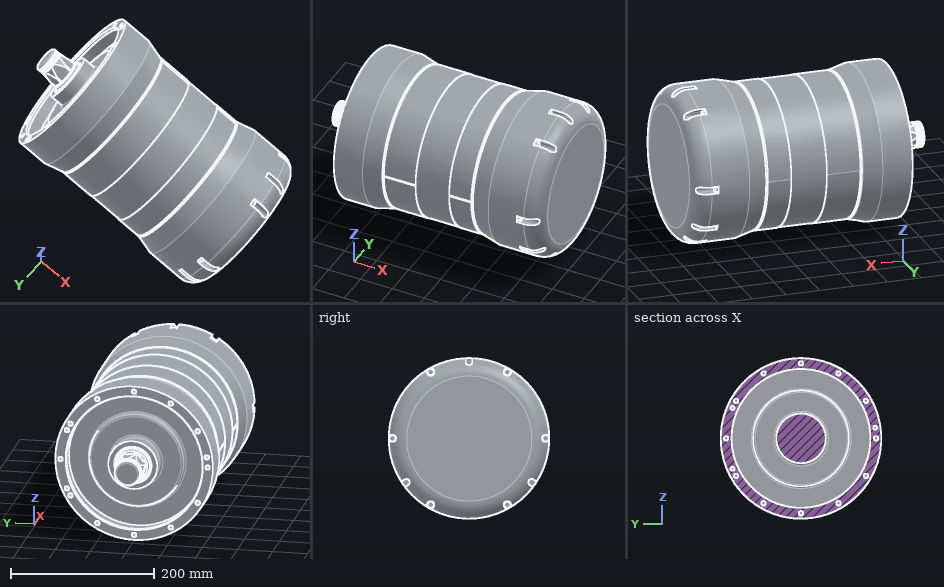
import cadquery as cq
import math


flange_x = 50.7
flange_end_x = 95.5
front_cone_end_x = 122.3
front_groove_x = 123.5
front_sleeve_x = 125.5
front_sleeve_end_x = 175.3
rear_sleeve_x = 228.0
rear_sleeve_end_x = 262.5
rear_cone_x = 265.0
rear_cone_end_x = 292.5
back_x = 373.0
housing_radius = 225.0 / 2
sleeve_radius = 210.7 / 2
core_radius = 209.5 / 2
back_fillet = 25.0
slit_width = 1.0

recess_mouth_radius = 195.5 / 2
recess_radius = 194.0 / 2
recess_mouth_depth = 3.7
recess_floor_x = 71.5
plate_radius = 134.2 / 2
plate_height = 8.2
plate_fillet = 2.5

hub_radius = 69.7 / 2
hub_face_x = 41.8
hub_fillet = 3.5
hub_ring_radius = 53.5 / 2
hub_ring_depth = 1.0
collar_radius = 48.0 / 2
collar_top_radius = 43.0 / 2
collar_top_x = 38.5

tip_radius = 36.5 / 2
tip_fillet = 3.0
taper_x = 12.0
taper_end_x = 28.0
shaft_radius = 41.0 / 2
shaft_end_x = 37.3
neck_radius = 17.5
hex_across_flats = 36.5
hex_turn = 11.5
thread_x = 3.5
thread_pitch = 1.35
thread_turns = 4
thread_depth = 0.7
undercut_starts = (9.0, 11.0)
undercut_width = 1.0

hole_circle_radius = 104.8
screw_hole_count = 12
hole_mouth_diameter = 6.7
screw_hole_diameter = 6.0
screw_hole_depth = 15.0
drill_tip_angle = 118.0
pin_hole_diameter = 5.2
pin_hole_depth = 15.0
pin_hole_angles = (24.0, -24.0, 171.8)

slot_axis_radius = 107.0
screw_slot_width = 10.0
screw_slot_x = 337.5
screw_slot_angles = (0, 60, 120, 180, 240, 300)
screw_head_diameter = 8.5
screw_head_length = 4.5
plain_slot_width = 9.5
plain_slot_x = 333.0
plain_slot_angles = (90, -35, 215)


def revolve_about_x(sketch):
    """Turn a closed XY outline, drawn with Y as the radius, about the X axis."""
    return sketch.close().revolve(360, (0, 0, 0), (1, 0, 0))


def x_cylinder(radius, x_start, x_end):
    return cq.Workplane("YZ", origin=(x_start, 0, 0)).circle(radius).extrude(x_end - x_start)


def ring_groove(x_start, x_end, inner_radius, outer_radius):
    """Ring to be cut from a turned face or surface."""
    return x_cylinder(outer_radius, x_start, x_end).cut(x_cylinder(inner_radius, x_start, x_end))


def at_angle(body, angle):
    return body.rotate((0, 0, 0), (1, 0, 0), angle)


def make_housing():
    outline = (
        cq.Workplane("XY")
        .moveTo(recess_floor_x, 0)
        .lineTo(recess_floor_x, recess_radius)
        .lineTo(flange_x + recess_mouth_depth, recess_radius)
        .lineTo(flange_x + recess_mouth_depth, recess_mouth_radius)
        .lineTo(flange_x, recess_mouth_radius)
        .lineTo(flange_x, housing_radius)
        .lineTo(flange_end_x, housing_radius)
        .lineTo(front_cone_end_x, sleeve_radius)
        .lineTo(front_groove_x, sleeve_radius)
        .lineTo(front_groove_x, core_radius)
        .lineTo(front_sleeve_x, core_radius)
        .lineTo(front_sleeve_x, sleeve_radius)
        .lineTo(front_sleeve_end_x, sleeve_radius)
        .lineTo(front_sleeve_end_x, core_radius)
        .lineTo(rear_sleeve_x, core_radius)
        .lineTo(rear_sleeve_x, sleeve_radius)
        .lineTo(rear_sleeve_end_x, sleeve_radius)
        .lineTo(rear_sleeve_end_x, core_radius)
        .lineTo(rear_cone_x, core_radius)
        .lineTo(rear_cone_x, sleeve_radius)
        .lineTo(rear_cone_end_x, housing_radius)
        .lineTo(back_x - back_fillet, housing_radius)
        .radiusArc((back_x, housing_radius - back_fillet), back_fillet)
        .lineTo(back_x, 0)
    )
    return revolve_about_x(outline)


def make_sleeve_slits():
    """The joint of each sleeve is a slit along X on the -Y side, down to the core."""
    slits = cq.Workplane("XY")
    for x_start, x_end in (
        (front_sleeve_x, front_sleeve_end_x),
        (rear_sleeve_x, rear_sleeve_end_x),
    ):
        strip = cq.Workplane("XY").box(
            x_end - x_start, sleeve_radius, slit_width, centered=(False, False, True)
        )
        strip = strip.translate((x_start, -sleeve_radius, 0))
        slits = slits.add(strip.cut(x_cylinder(core_radius, x_start, x_end)))
    return slits.combine()


def make_hub():
    """Raised plate on the recess floor, and the hub standing on it."""
    plate_x = recess_floor_x - plate_height
    outline = (
        cq.Workplane("XY")
        .moveTo(recess_floor_x, 0)
        .lineTo(recess_floor_x, plate_radius + plate_fillet)
        .radiusArc((recess_floor_x - plate_fillet, plate_radius), plate_fillet)
        .lineTo(plate_x + plate_fillet, plate_radius)
        .radiusArc((plate_x, plate_radius - plate_fillet), -plate_fillet)
        .lineTo(plate_x, hub_radius + hub_fillet)
        .radiusArc((plate_x - hub_fillet, hub_radius), hub_fillet)
        .lineTo(hub_face_x, hub_radius)
        .lineTo(hub_face_x, hub_ring_radius)
        .lineTo(hub_face_x + hub_ring_depth, hub_ring_radius)
        .lineTo(hub_face_x + hub_ring_depth, collar_radius)
        .lineTo(hub_face_x, collar_radius)
        .lineTo(collar_top_x, collar_top_radius)
        .lineTo(collar_top_x, 0)
    )
    return revolve_about_x(outline)


def make_shaft():
    """Tip with fine thread-like grooves, a taper cut to a hexagon, and a neck down to the collar."""
    taper_outline = (
        cq.Workplane("XY")
        .moveTo(taper_x, 0)
        .lineTo(taper_x, tip_radius)
        .lineTo(taper_end_x, shaft_radius)
        .lineTo(shaft_end_x, shaft_radius)
        .lineTo(shaft_end_x, 0)
    )
    hex_corner_diameter = hex_across_flats / math.cos(math.radians(30))
    hexagon = (
        cq.Workplane("YZ", origin=(taper_x, 0, 0))
        .polygon(6, hex_corner_diameter)
        .extrude(shaft_end_x - taper_x)
    )
    taper = revolve_about_x(taper_outline).intersect(at_angle(hexagon, -hex_turn))

    tip = x_cylinder(tip_radius, 0, taper_x).faces("<X").edges().fillet(tip_fillet)
    for turn in range(thread_turns):
        groove_x = thread_x + turn * thread_pitch
        groove = (
            cq.Workplane("XY")
            .moveTo(groove_x, tip_radius)
            .lineTo(groove_x + thread_pitch / 2, tip_radius - thread_depth)
            .lineTo(groove_x + thread_pitch, tip_radius)
        )
        tip = tip.cut(revolve_about_x(groove))
    undercut_radius = tip_radius - thread_depth
    for start_x in undercut_starts:
        tip = tip.cut(ring_groove(start_x, start_x + undercut_width, undercut_radius, shaft_radius))
    neck = x_cylinder(neck_radius, shaft_end_x, collar_top_x)
    return tip.union(taper).union(neck)


def flange_hole(diameter, depth, tip_length):
    """Hole on the +Y side with a 45 degree chamfer at its mouth; no tip length gives a flat end."""
    radius = diameter / 2
    mouth_radius = hole_mouth_diameter / 2
    chamfer = mouth_radius - radius
    outline = (
        cq.Workplane("XY")
        .moveTo(flange_x, 0)
        .lineTo(flange_x, mouth_radius)
        .lineTo(flange_x + chamfer, radius)
        .lineTo(flange_x + depth, radius)
        .lineTo(flange_x + depth + tip_length, 0)
    )
    return revolve_about_x(outline).translate((0, hole_circle_radius, 0))


def make_flange_holes():
    drill_tip_length = screw_hole_diameter / 2 / math.tan(math.radians(drill_tip_angle / 2))
    screw_hole = flange_hole(screw_hole_diameter, screw_hole_depth, drill_tip_length)
    pin_hole = flange_hole(pin_hole_diameter, pin_hole_depth, 0)

    holes = cq.Workplane("XY")
    for index in range(screw_hole_count):
        holes = holes.add(at_angle(screw_hole, index * 360 / screw_hole_count))
    for angle in pin_hole_angles:
        holes = holes.add(at_angle(pin_hole, angle))
    return holes.combine()


def round_floor_slot(width, x_start):
    """Slot along X on the +Y side, open outwards and to the rear, with a half-round floor."""
    floor = x_cylinder(width / 2, x_start, back_x).translate((0, slot_axis_radius, 0))
    opening = cq.Workplane("XY").box(
        back_x - x_start, housing_radius - slot_axis_radius + width, width,
        centered=(False, False, True),
    )
    return floor.union(opening.translate((x_start, slot_axis_radius, 0)))


def make_rear_slots():
    screw_head = x_cylinder(screw_head_diameter / 2, screw_slot_x, screw_slot_x + screw_head_length)
    screw_slot = round_floor_slot(screw_slot_width, screw_slot_x)
    screw_slot = screw_slot.cut(screw_head.translate((0, slot_axis_radius, 0)))
    plain_slot = round_floor_slot(plain_slot_width, plain_slot_x)

    slots = cq.Workplane("XY")
    for angle in screw_slot_angles:
        slots = slots.add(at_angle(screw_slot, angle))
    for angle in plain_slot_angles:
        slots = slots.add(at_angle(plain_slot, angle))
    return slots.combine()


result = (
    make_housing()
    .cut(make_sleeve_slits())
    .union(make_hub())
    .union(make_shaft())
    .cut(make_flange_holes())
    .cut(make_rear_slots())
)